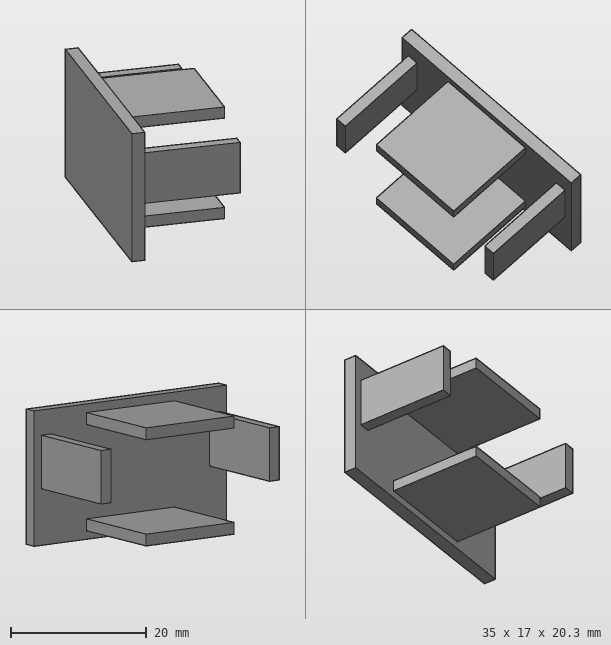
import cadquery as cq

plate_width = 35.0
plate_height = 20.3
plate_thickness = 2.0

tab_length = 15.0
tab_thickness = 1.8
edge_inset = 1.3
wide_tab_width = 16.0
side_tab_height = 8.0
side_tab_drop = 3.78

side_tab_x = plate_width / 2 - edge_inset - tab_thickness / 2
wide_tab_z = plate_height / 2 - edge_inset - tab_thickness / 2
side_tab_z = plate_height / 2 - side_tab_drop - side_tab_height / 2


def make_tab(width, height, x, z):
    """A tab centred at (x, z), starting on the back face of the plate."""
    tab = cq.Workplane("XY").box(width, tab_length, height, centered=(True, False, True))
    return tab.translate((x, plate_thickness, z))


result = cq.Workplane("XY").box(
    plate_width, plate_thickness, plate_height, centered=(True, False, True)
)

for side in (-1, 1):
    wide_tab = make_tab(wide_tab_width, tab_thickness, 0, side * wide_tab_z)
    side_tab = make_tab(tab_thickness, side_tab_height, side * side_tab_x, side_tab_z)
    result = result.union(wide_tab).union(side_tab)